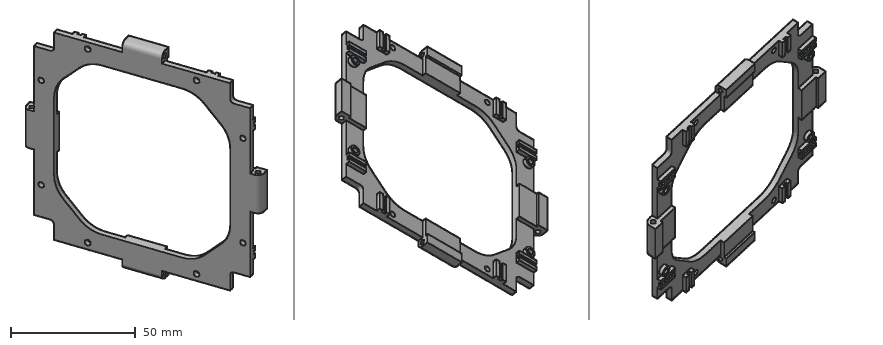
import cadquery as cq

OVERALL_SIZE = 107.8
OVERALL_DEPTH = 5.6

PLATE_SIZE = 98.2
PLATE_THICKNESS = 2.7
OPENING_SIZE = 80.0
OPENING_CHAMFER = 15.8
OPENING_FILLET = 14.3
NOTCH_FILLET = 1.8
RAIL_WIDTH = (PLATE_SIZE - OPENING_SIZE) / 2

HINGE_LENGTH = 18.1
KNUCKLE_RADIUS = PLATE_THICKNESS
KNUCKLE_WIDTH = (OVERALL_SIZE - PLATE_SIZE) / 2
PIN_HOLE_DIAMETER = 2.2
PIN_HOLE_INSET = 2.5
RAISED_HEIGHT = 1.8

HOLE_DIAMETER = 2.6
HOLE_SPACING = 49.5
HOLE_CENTRE = 45.8
BOSS_DIAMETER = 4.5
BOSS_HOLE_DIAMETER = 2.5

CLIP_SPACING = 60.9
CLIP_LENGTH = 5.3
GROOVE_WIDTH = 1.6
GROOVE_DEPTH = 1.0

SIDE_ANGLES = (0, 90, 180, 270)
BOSS_SIDE_ANGLES = (90, 270)
PICK_MARGIN = 1.1


def box(x_centre, x_size, y_start, y_size, z_centre, z_size):
    """Block centred in X and Z that starts at y_start and grows towards +Y."""
    block = cq.Workplane("XY").box(x_size, y_size, z_size, centered=(True, False, True))
    return block.translate((x_centre, y_start, z_centre))


def rod(diameter, x_centre, z_centre, y_start, length):
    """Cylinder along +Y."""
    axis = cq.Vector(0, 1, 0)
    start = cq.Vector(x_centre, y_start, z_centre)
    return cq.Workplane("XY").add(cq.Solid.makeCylinder(diameter / 2, length, start, axis))


def on_side(shape, angle):
    """Turn a feature modelled on the top side about the middle of the frame."""
    return shape.rotate((0, 0, 0), (0, 1, 0), angle)


def frame_plate():
    """Square plate with notched outer corners and a rounded, chamfered opening."""
    upright = box(0, OPENING_SIZE, 0, PLATE_THICKNESS, 0, PLATE_SIZE)
    crossbar = box(0, PLATE_SIZE, 0, PLATE_THICKNESS, 0, OPENING_SIZE)
    half_opening = OPENING_SIZE / 2
    notch_corners = cq.selectors.BoxSelector(
        (-half_opening - PICK_MARGIN, -PICK_MARGIN, -half_opening - PICK_MARGIN),
        (half_opening + PICK_MARGIN, PLATE_THICKNESS + PICK_MARGIN, half_opening + PICK_MARGIN),
    )
    plate = upright.union(crossbar).edges("|Y").edges(notch_corners).fillet(NOTCH_FILLET)

    opening = box(0, OPENING_SIZE, 0, PLATE_THICKNESS, 0, OPENING_SIZE)
    opening = opening.edges("|Y").chamfer(OPENING_CHAMFER)
    opening = opening.edges("|Y").fillet(OPENING_FILLET)
    return plate.cut(opening)


def hinge():
    """Knuckle with a rounded front corner, and the pad that backs it on the rail."""
    knuckle_centre = (OVERALL_SIZE - KNUCKLE_WIDTH) / 2
    knuckle = box(0, HINGE_LENGTH, 0, OVERALL_DEPTH, knuckle_centre, KNUCKLE_WIDTH)
    knuckle = knuckle.edges("|X and >Z and <Y").fillet(KNUCKLE_RADIUS)
    pad_centre = (PLATE_SIZE - RAIL_WIDTH) / 2
    pad = box(0, HINGE_LENGTH, PLATE_THICKNESS, RAISED_HEIGHT, pad_centre, RAIL_WIDTH)
    return knuckle.union(pad)


def pin_hole():
    """Hole along the knuckle."""
    start = cq.Vector(-HINGE_LENGTH / 2, PIN_HOLE_INSET, OVERALL_SIZE / 2 - PIN_HOLE_INSET)
    axis = cq.Vector(1, 0, 0)
    cylinder = cq.Solid.makeCylinder(PIN_HOLE_DIAMETER / 2, HINGE_LENGTH, start, axis)
    return cq.Workplane("XY").add(cylinder)


def clip(x_centre):
    """Block across the back of the rail with a groove along its middle."""
    z_centre = (PLATE_SIZE - RAIL_WIDTH) / 2
    block = box(x_centre, CLIP_LENGTH, PLATE_THICKNESS, RAISED_HEIGHT, z_centre, RAIL_WIDTH)
    groove_floor = PLATE_THICKNESS + RAISED_HEIGHT - GROOVE_DEPTH
    return block.cut(box(x_centre, GROOVE_WIDTH, groove_floor, GROOVE_DEPTH, z_centre, RAIL_WIDTH))


result = frame_plate()

for angle in SIDE_ANGLES:
    has_bosses = angle in BOSS_SIDE_ANGLES
    hole_diameter = BOSS_HOLE_DIAMETER if has_bosses else HOLE_DIAMETER
    result = result.union(on_side(hinge(), angle)).cut(on_side(pin_hole(), angle))
    for side in (-1, 1):
        hole_x = side * HOLE_SPACING / 2
        result = result.union(on_side(clip(side * CLIP_SPACING / 2), angle))
        if has_bosses:
            boss = rod(BOSS_DIAMETER, hole_x, HOLE_CENTRE, PLATE_THICKNESS, RAISED_HEIGHT)
            result = result.union(on_side(boss, angle))
        hole = rod(hole_diameter, hole_x, HOLE_CENTRE, 0, OVERALL_DEPTH)
        result = result.cut(on_side(hole, angle))